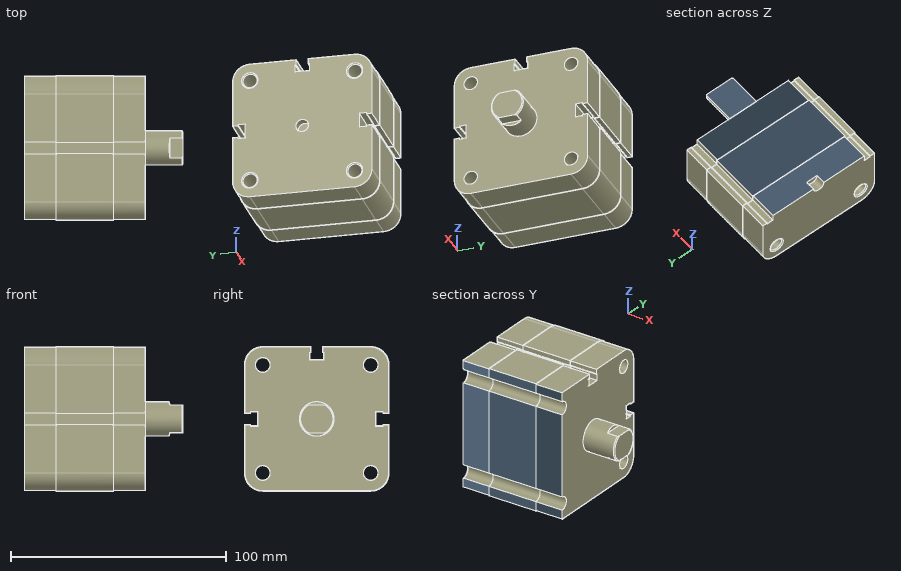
import cadquery as cq


REAR_CAP_LENGTH = 14.75
BARREL_LENGTH = 26.5
FRONT_CAP_LENGTH = 14.75
ROD_LENGTH = 17.5

BARREL_SIZE = 67.0
BOLT_SPACING = 50.0
CORNER_RADIUS = (BARREL_SIZE - BOLT_SPACING) / 2
CAP_INSET = 0.25

SLOT_MOUTH_WIDTH = 5.2
SLOT_INNER_WIDTH = 6.3
SLOT_LIP_DEPTH = 2.85
SLOT_DEPTH = 6.0
SLOT_ANGLES = (-90, 0, 90)

BOLT_HOLE_DIAMETER = 6.7
BOLT_COUNTERSINK_DIAMETER = 7.8
CENTRE_HOLE_DIAMETER = 6.0
CENTRE_HOLE_DEPTH = 5.0

ROD_DIAMETER = 16.0
ROD_TIP_CHAMFER = 0.5
ACROSS_FLATS = 13.0
FLAT_LENGTH = 6.1
FLAT_RUNOUT = 0.4

barrel_start = REAR_CAP_LENGTH
front_cap_start = barrel_start + BARREL_LENGTH
rod_start = front_cap_start + FRONT_CAP_LENGTH
rod_end = rod_start + ROD_LENGTH


def cross_plane(x):
    """Plane across the axis at x, with local axes along Y and Z."""
    return cq.Workplane("YZ", origin=(x, 0, 0))


def slot_cutter(x, length, inset):
    """T-slot void at the top face; the inset widens and deepens it, and the lip stays put."""
    mouth = SLOT_MOUTH_WIDTH / 2 + inset
    inner = SLOT_INNER_WIDTH / 2 + inset
    face = BARREL_SIZE / 2
    lip = face - SLOT_LIP_DEPTH
    floor = face - SLOT_DEPTH - inset
    outline = [
        (-mouth, face),
        (-mouth, lip),
        (-inner, lip),
        (-inner, floor),
        (inner, floor),
        (inner, lip),
        (mouth, lip),
        (mouth, face),
    ]
    return cross_plane(x).polyline(outline).close().extrude(length)


def housing_section(x, length, inset):
    """Rounded square block with three T-slots and four bolt holes."""
    size = BARREL_SIZE - 2 * inset
    block = cross_plane(x).rect(size, size).extrude(length)
    block = block.edges("|X").fillet(CORNER_RADIUS - inset)
    cutter = slot_cutter(x, length, inset)
    for angle in SLOT_ANGLES:
        block = block.cut(cutter.rotate((0, 0, 0), (1, 0, 0), angle))
    bolt_holes = (
        cross_plane(x)
        .rect(BOLT_SPACING, BOLT_SPACING, forConstruction=True)
        .vertices()
        .circle(BOLT_HOLE_DIAMETER / 2)
        .extrude(length)
    )
    return block.cut(bolt_holes)


def make_barrel():
    return housing_section(barrel_start, BARREL_LENGTH, 0)


def make_front_cap():
    return housing_section(front_cap_start, FRONT_CAP_LENGTH, CAP_INSET)


def make_rear_cap():
    """Rear cap with countersunk bolt holes and a blind centre hole."""
    cap = housing_section(0, REAR_CAP_LENGTH, CAP_INSET)
    countersink_depth = (BOLT_COUNTERSINK_DIAMETER - BOLT_HOLE_DIAMETER) / 2
    countersinks = (
        cross_plane(0)
        .rect(BOLT_SPACING, BOLT_SPACING, forConstruction=True)
        .vertices()
        .circle(BOLT_COUNTERSINK_DIAMETER / 2)
        .extrude(countersink_depth, taper=45)
    )
    centre_hole = cross_plane(0).circle(CENTRE_HOLE_DIAMETER / 2).extrude(CENTRE_HOLE_DEPTH)
    return cap.cut(countersinks).cut(centre_hole)


def make_rod():
    """Round rod with a bevelled tip and two flats that end in a sloped step."""
    radius = ROD_DIAMETER / 2
    rod_profile = [
        (rod_start, 0),
        (rod_start, radius),
        (rod_end - ROD_TIP_CHAMFER, radius),
        (rod_end, radius - ROD_TIP_CHAMFER),
        (rod_end, 0),
    ]
    rod = cq.Workplane("XZ").polyline(rod_profile).close().revolve(360, (0, 0, 0), (1, 0, 0))
    flat_start = rod_end - FLAT_LENGTH
    flat_profile = [
        (flat_start, ACROSS_FLATS / 2),
        (flat_start - FLAT_RUNOUT, radius),
        (rod_end, radius),
        (rod_end, ACROSS_FLATS / 2),
    ]
    flat = cq.Workplane("XZ").polyline(flat_profile).close().extrude(radius, both=True)
    return rod.cut(flat).cut(flat.mirror("XY"))


rear_cap = make_rear_cap()
barrel = make_barrel()
front_cap = make_front_cap()
rod = make_rod()

result = cq.Compound.makeCompound([rear_cap.val(), barrel.val(), front_cap.val(), rod.val()])